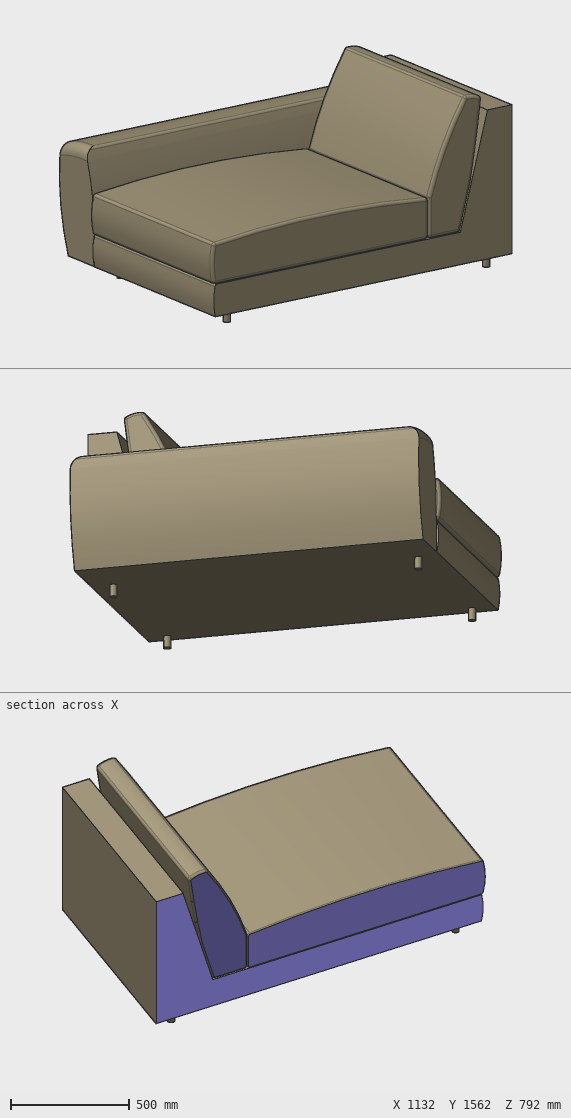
import cadquery as cq

WIDTH = 1132.0
BACK_Y = 1562
FRAME_BOTTOM_Z = 52.0
BASE_TOP_Z = 195.0

ARM_FRONT_Y = 20.0
ARM_FOOT_X = 64.0
ARM_INNER_X = 256.0
ARM_OUTER_TOP_Z = 537.0
ARM_TOP_Z = 557.0
ARM_OUTER_TOP = (10.0, ARM_OUTER_TOP_Z)
ARM_OUTER_BULGE = (0, 406)
ARM_CROWN = (86.0, 553.0)
ARM_INNER_TOP = (186.0, ARM_TOP_Z)
ARM_INNER_BULGE = (237.0, 375)
ZONE_MARGIN = 2.0
ARM_LONG_EDGE_RADIUS = 15.0
ARM_END_RADIUS = 52.0

BASE_FRONT_Y = 19.0
BASE_BULGE = 8.0
BASE_TOP_RADIUS = 12.0
BACKREST_TOP_Z = 710.0
BACKREST_TOP_DEPTH = 128.0
BACKREST_LEAN = 0.274

SEAT_LEFT_X = 251.0
SEAT_EDGE_Y = 11.0
SEAT_REAR_Y = 1127.0
SEAT_EDGE_Z = 376.0
SEAT_CROWN_Z = 408.0
SEAT_EDGE_RADIUS = 14.0

CUSHION_CONTACT_Z = 406
CUSHION_EDGE_RADIUS = 15.0
CUSHION_REAR_BULGE = (1377.0, 562)
CUSHION_REAR_TOP = (1405, 771.0)
CUSHION_CROWN = (1365.0, 789.0)
CUSHION_FRONT_TOP = (1318.0, 790.0)
CUSHION_FRONT_BULGE = (1227.0, 632.0)

LEG_DIAMETER = 31
LEG_SIDE_INSET = 53.0
LEG_FRONT_Y = 117.0
LEG_REAR_Y = 1465.0


def backrest_front_y(z):
    """Y of the leaning front face of the backrest at height z."""
    return BACK_Y - BACKREST_TOP_DEPTH - BACKREST_LEAN * (BACKREST_TOP_Z - z)


def extrude_across(profile, left_x):
    """Extrude a closed YZ profile from left_x to the right side of the sofa."""
    return profile.close().extrude(WIDTH - left_x).translate((left_x, 0, 0))


def make_arm():
    profile = (
        cq.Workplane("XZ")
        .moveTo(ARM_FOOT_X, FRAME_BOTTOM_Z)
        .threePointArc(ARM_OUTER_BULGE, ARM_OUTER_TOP)
        .threePointArc(ARM_CROWN, ARM_INNER_TOP)
        .threePointArc(ARM_INNER_BULGE, (ARM_INNER_X, BASE_TOP_Z))
        .lineTo(ARM_INNER_X, FRAME_BOTTOM_Z)
        .close()
    )
    arm = profile.extrude(ARM_FRONT_Y - BACK_Y).translate((0, ARM_FRONT_Y, 0))
    top_zone = cq.selectors.BoxSelector(
        (-WIDTH, -BACK_Y, ARM_OUTER_TOP_Z - ZONE_MARGIN),
        (WIDTH, 2 * BACK_Y, ARM_TOP_Z + ZONE_MARGIN),
    )
    with_round_sides = arm.edges("|Y").edges(top_zone).fillet(ARM_LONG_EDGE_RADIUS)
    with_round_ends = arm.edges("not |Y").edges(top_zone).fillet(ARM_END_RADIUS)
    return with_round_ends.intersect(with_round_sides)


def make_base():
    mid_z = (FRAME_BOTTOM_Z + BASE_TOP_Z) / 2
    profile = (
        cq.Workplane("YZ")
        .moveTo(BACK_Y, FRAME_BOTTOM_Z)
        .lineTo(BACK_Y, BASE_TOP_Z)
        .lineTo(BASE_FRONT_Y, BASE_TOP_Z)
        .threePointArc((BASE_FRONT_Y - BASE_BULGE, mid_z), (BASE_FRONT_Y, FRAME_BOTTOM_Z))
    )
    base = extrude_across(profile, ARM_INNER_X)
    return base.faces(">Z").edges("<Y").fillet(BASE_TOP_RADIUS)


def make_backrest():
    profile = cq.Workplane("YZ").polyline([
        (BACK_Y, BASE_TOP_Z),
        (BACK_Y, BACKREST_TOP_Z),
        (BACK_Y - BACKREST_TOP_DEPTH, BACKREST_TOP_Z),
        (backrest_front_y(BASE_TOP_Z), BASE_TOP_Z),
    ])
    return extrude_across(profile, ARM_INNER_X)


def make_seat():
    front_mid_z = (BASE_TOP_Z + SEAT_EDGE_Z) / 2
    profile = (
        cq.Workplane("YZ")
        .moveTo(SEAT_EDGE_Y, BASE_TOP_Z)
        .threePointArc((0, front_mid_z), (SEAT_EDGE_Y, SEAT_EDGE_Z))
        .threePointArc(((SEAT_EDGE_Y + SEAT_REAR_Y) / 2, SEAT_CROWN_Z), (SEAT_REAR_Y, SEAT_EDGE_Z))
        .lineTo(SEAT_REAR_Y, BASE_TOP_Z)
    )
    return extrude_across(profile, SEAT_LEFT_X).edges().fillet(SEAT_EDGE_RADIUS)


def make_back_cushion():
    profile = (
        cq.Workplane("YZ")
        .moveTo(backrest_front_y(BASE_TOP_Z), BASE_TOP_Z)
        .lineTo(backrest_front_y(CUSHION_CONTACT_Z), CUSHION_CONTACT_Z)
        .threePointArc(CUSHION_REAR_BULGE, CUSHION_REAR_TOP)
        .threePointArc(CUSHION_CROWN, CUSHION_FRONT_TOP)
        .threePointArc(CUSHION_FRONT_BULGE, (SEAT_REAR_Y, SEAT_EDGE_Z))
        .lineTo(SEAT_REAR_Y, BASE_TOP_Z)
    )
    return extrude_across(profile, ARM_INNER_X).edges().fillet(CUSHION_EDGE_RADIUS)


def make_leg(x, y):
    return cq.Workplane("XY").center(x, y).circle(LEG_DIAMETER / 2).extrude(FRAME_BOTTOM_Z)


seat = make_seat()
frame = make_arm().union(make_base()).union(make_backrest()).cut(seat)
back_cushion = make_back_cushion()

legs = []
for leg_x in (ARM_INNER_X + LEG_SIDE_INSET, WIDTH - LEG_SIDE_INSET):
    for leg_y in (LEG_FRONT_Y, LEG_REAR_Y):
        legs.append(make_leg(leg_x, leg_y).val())

result = cq.Compound.makeCompound([frame.val(), seat.val(), back_cushion.val(), *legs])